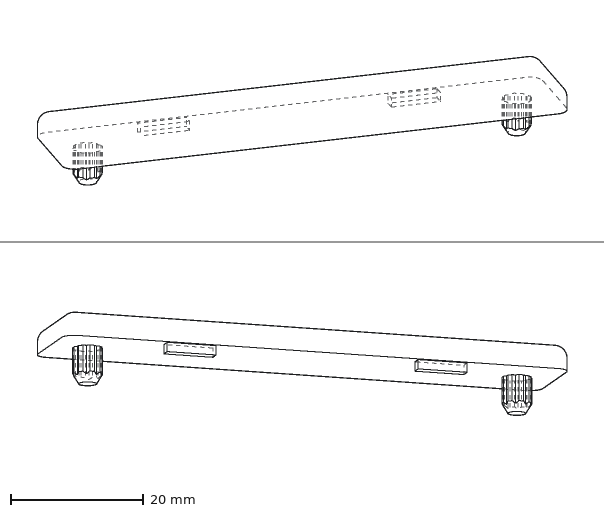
import cadquery as cq
import math

length = 80
width = 16
thickness = 4
corner_radius = 2.0
top_edge_radius = 1.99

pin_diameter = 4.6
pin_tip_diameter = 2.7
pin_length = 5.5
pin_taper_length = 1.5
pin_end_distance = 6.0
rib_count = 8
rib_width = 0.7
groove_depth = 0.2

tab_length = 7.8
tab_width = 1.7
tab_height = 1.4
tab_inset = 0.5
tab_spacing = 39.8


def make_plate():
    """Plate with rounded corners and a rounded top edge."""
    block = cq.Workplane("XY").box(length=width, width=length, height=thickness, centered=(True, True, False))
    rounded = block.edges("|Z").fillet(corner_radius)
    return rounded.faces(">Z").edges().fillet(top_edge_radius)


def spline_outline():
    """Points around the pin: flat-topped ribs with a V groove between neighbours."""
    outer_radius = pin_diameter / 2
    root_radius = outer_radius - groove_depth
    pitch = 2 * math.pi / rib_count
    half_rib = math.asin(rib_width / pin_diameter)
    points = []
    for rib in range(rib_count):
        middle = rib * pitch
        corners = (
            (outer_radius, middle - half_rib),
            (outer_radius, middle + half_rib),
            (root_radius, middle + pitch / 2),
        )
        for radius, angle in corners:
            points.append((radius * math.cos(angle), radius * math.sin(angle)))
    return points


def make_pin():
    """Splined pin hanging below the plate, trimmed to a tapered tip."""
    splined = cq.Workplane("XY").polyline(spline_outline()).close().extrude(-pin_length)
    envelope = (
        cq.Workplane("XZ")
        .moveTo(0, 0)
        .lineTo(pin_diameter / 2, 0)
        .lineTo(pin_diameter / 2, pin_taper_length - pin_length)
        .lineTo(pin_tip_diameter / 2, -pin_length)
        .lineTo(0, -pin_length)
        .close()
        .revolve(360, (0, 0, 0), (0, 1, 0))
    )
    return splined.intersect(envelope)


def make_tab():
    """Rectangular tab centred on Y = 0, set in from the -X side."""
    return (
        cq.Workplane("XY")
        .center(-width / 2 + tab_inset + tab_width / 2, 0)
        .rect(tab_width, tab_length)
        .extrude(-tab_height)
    )


result = make_plate()
for side in (-1, 1):
    result = result.union(make_pin().translate((0, side * (length / 2 - pin_end_distance), 0)))
    result = result.union(make_tab().translate((0, side * tab_spacing / 2, 0)))